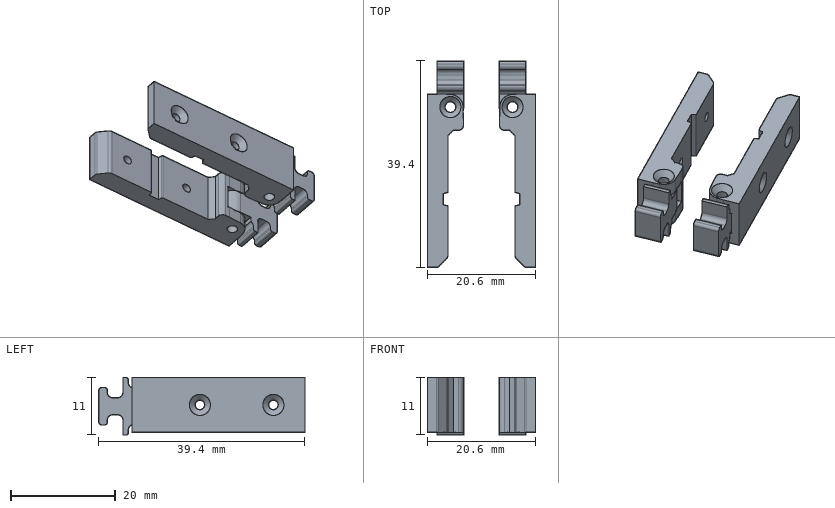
import cadquery as cq
import math

total_width = 20.65
total_length = 39.35
total_height = 11.0

arm_length = 33.05
arm_height = 10.5
arm_thickness = 3.97
head_thickness = 6.92
head_length = 6.92
head_corner_radius = 1.0
head_chamfer = 1.0
tip_chamfer = 1.95
tip_inner_radius = 1.0
tip_front_radius = 0.5

pivot_inset = 4.4
pivot_rear_offset = 2.48
knuckle_radius = 2.4
side_relief_length = 2.55
rear_relief_length = 1.25

notch_center_y = 13.02
notch_floor_width = 2.1
notch_depth = 0.9
notch_side_angle = 15.0
notch_edge_radius = 0.25

tongue_height = 5.0
slot_reach = 2.87

countersink_diameter = 4.0
pivot_countersink_angle = 80.0
side_countersink_angle = 90.0
pivot_hole_diameter = 2.0
side_hole_diameter = 1.77
side_hole_first_y = 6.05
side_hole_pitch = 14.0

slider_width = 5.1
end_flange_thickness = 1.65
end_flange_height = 7.15
end_flange_rear_radius = 0.6
end_flange_front_radius = 0.5
groove_width = 2.95
web_height = 3.3
groove_radius = 1.0
guide_flange_thickness = 1.05
guide_flange_radius = 0.5
neck_radius = 1.0
neck_height = 7.0

arm_outer_x = -total_width / 2
arm_bottom = total_height - arm_height
arm_middle_z = arm_bottom + arm_height / 2
slider_middle_z = total_height / 2
pivot_x = arm_outer_x + pivot_inset
pivot_y = arm_length - pivot_rear_offset
slim_x = arm_outer_x + arm_thickness
head_x = arm_outer_x + head_thickness
head_front_y = arm_length - head_length
tongue_radius = slider_width / 2
tongue_tip_y = pivot_y - tongue_radius


def arm_blank():
    """Solid arm: slim bar with a chamfered tip and a thick head with a rounded knuckle."""
    diagonal = math.sqrt(0.5)
    rear_taper = math.atan2(pivot_rear_offset - knuckle_radius, rear_relief_length)
    side_taper = math.atan2(head_x - pivot_x - knuckle_radius, side_relief_length)
    rear_touch = (pivot_x + knuckle_radius * math.sin(rear_taper),
                  pivot_y + knuckle_radius * math.cos(rear_taper))
    side_touch = (pivot_x + knuckle_radius * math.cos(side_taper),
                  pivot_y + knuckle_radius * math.sin(side_taper))
    knuckle_middle = (pivot_x + knuckle_radius * diagonal, pivot_y + knuckle_radius * diagonal)
    outline = (
        cq.Workplane("XY", origin=(0, 0, arm_bottom))
        .moveTo(arm_outer_x, 0)
        .lineTo(slim_x - tip_chamfer, 0)
        .lineTo(slim_x, tip_chamfer)
        .lineTo(slim_x, head_front_y - head_chamfer)
        .lineTo(slim_x + head_chamfer, head_front_y)
        .lineTo(head_x, head_front_y)
        .lineTo(head_x, pivot_y - side_relief_length)
        .lineTo(*side_touch)
        .threePointArc(knuckle_middle, rear_touch)
        .lineTo(pivot_x - rear_relief_length, arm_length)
        .lineTo(arm_outer_x, arm_length)
        .close()
    )
    blank = outline.extrude(arm_height)
    for corner, radius in (
        ((slim_x - tip_chamfer, 0), tip_front_radius),
        ((slim_x, tip_chamfer), tip_inner_radius),
        ((head_x, head_front_y), head_corner_radius),
    ):
        edge_point = (*corner, arm_middle_z)
        blank = blank.edges(cq.selectors.NearestToPointSelector(edge_point)).fillet(radius)
    return blank


def cut_notch(arm):
    """Notch with sloped sides and rounded lips, through the full height."""
    floor_half = notch_floor_width / 2
    mouth_half = floor_half + notch_depth * math.tan(math.radians(notch_side_angle))
    notch = (
        cq.Workplane("XY", origin=(slim_x, notch_center_y, arm_bottom))
        .polyline([(0, -mouth_half), (0, mouth_half),
                   (-notch_depth, floor_half), (-notch_depth, -floor_half)])
        .close()
        .extrude(arm_height)
    )
    arm = arm.cut(notch)
    for side in (-1, 1):
        lip_point = (slim_x, notch_center_y + side * mouth_half, arm_middle_z)
        arm = arm.edges(cq.selectors.NearestToPointSelector(lip_point)).fillet(notch_edge_radius)
    return arm


def cut_slot(arm):
    """Slot that takes the slider tongue, open to the rear and to the inner side."""
    slot = cq.Workplane("XY").box(
        head_x - pivot_x + slot_reach,
        pivot_rear_offset + slot_reach,
        tongue_height,
        centered=(False, False, True),
    )
    return arm.cut(slot.translate((pivot_x - slot_reach, pivot_y - slot_reach, slider_middle_z)))


def cut_holes(arm):
    """Countersunk pivot hole from the top and two countersunk holes from the outer side."""
    arm = (
        arm.copyWorkplane(cq.Workplane("XY", origin=(pivot_x, pivot_y, total_height)))
        .cskHole(pivot_hole_diameter, countersink_diameter, pivot_countersink_angle)
    )
    side_hole_ys = [side_hole_first_y, side_hole_first_y + side_hole_pitch]
    outer_face = cq.Plane(origin=(arm_outer_x, 0, arm_middle_z), xDir=(0, -1, 0), normal=(-1, 0, 0))
    return (
        arm.copyWorkplane(cq.Workplane(outer_face))
        .pushPoints([(-y, 0) for y in side_hole_ys])
        .cskHole(side_hole_diameter, countersink_diameter, side_countersink_angle, depth=arm_thickness)
    )


def make_arm():
    return cut_holes(cut_slot(cut_notch(arm_blank())))


def slider_half_outline():
    """Upper half of the slider side profile, in (Y, height above the middle)."""
    end_front_y = total_length - end_flange_thickness
    guide_rear_y = end_front_y - groove_width
    guide_front_y = guide_rear_y - guide_flange_thickness
    end_half = end_flange_height / 2
    web_half = web_height / 2
    guide_half = total_height / 2
    neck_center_y = guide_front_y - neck_radius
    neck_center_h = neck_height / 2 + neck_radius

    def neck_point(y):
        return (y, neck_center_h - math.sqrt(neck_radius**2 - (y - neck_center_y) ** 2))

    return (
        cq.Workplane("YZ", origin=(pivot_x - tongue_radius, 0, slider_middle_z))
        .moveTo(total_length, 0)
        .lineTo(total_length, end_half - end_flange_rear_radius)
        .radiusArc((total_length - end_flange_rear_radius, end_half), -end_flange_rear_radius)
        .lineTo(end_front_y + end_flange_front_radius, end_half)
        .radiusArc((end_front_y, end_half - end_flange_front_radius), -end_flange_front_radius)
        .lineTo(end_front_y, web_half + groove_radius)
        .radiusArc((end_front_y - groove_radius, web_half), groove_radius)
        .lineTo(guide_rear_y + groove_radius, web_half)
        .radiusArc((guide_rear_y, web_half + groove_radius), groove_radius)
        .lineTo(guide_rear_y, guide_half)
        .lineTo(guide_front_y + guide_flange_radius, guide_half)
        .radiusArc((guide_front_y, guide_half - guide_flange_radius), -guide_flange_radius)
        .lineTo(guide_front_y, neck_center_h)
        .threePointArc(neck_point((guide_front_y + arm_length) / 2), neck_point(arm_length))
        .lineTo(arm_length, tongue_height / 2)
        .lineTo(tongue_tip_y, tongue_height / 2)
        .lineTo(tongue_tip_y, 0)
        .close()
    )


def make_slider():
    """Track slider: two flanges with a groove between them and a round-ended hinge tongue."""
    upper = slider_half_outline().extrude(slider_width)
    lower = upper.mirror("XY", (0, 0, slider_middle_z))
    body = upper.union(lower, clean=True)
    plan = (
        cq.Workplane("XY")
        .moveTo(pivot_x - tongue_radius, pivot_y)
        .threePointArc((pivot_x, tongue_tip_y), (pivot_x + tongue_radius, pivot_y))
        .lineTo(pivot_x + tongue_radius, total_length)
        .lineTo(pivot_x - tongue_radius, total_length)
        .close()
        .extrude(total_height)
    )
    pivot_hole = (
        cq.Workplane("XY")
        .center(pivot_x, pivot_y)
        .circle(pivot_hole_diameter / 2)
        .extrude(total_height)
    )
    return body.intersect(plan).cut(pivot_hole)


bodies = []
for make_body in (make_arm, make_slider):
    left_body = make_body()
    right_body = left_body.mirror("YZ")
    bodies += [left_body.solids().val(), right_body.solids().val()]

result = cq.Compound.makeCompound(bodies)